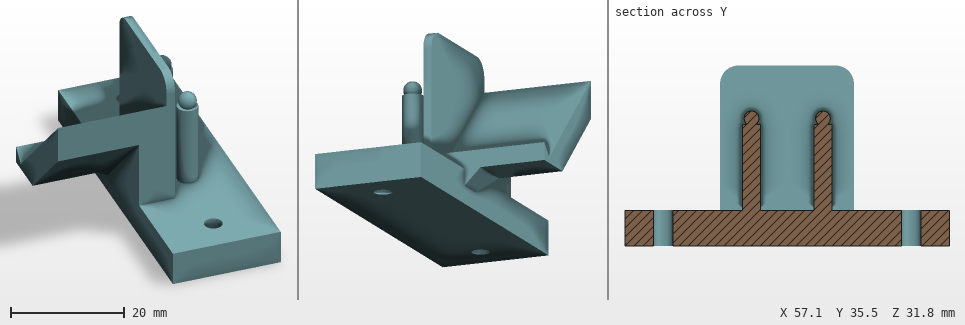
import cadquery as cq

base_length = 57.15
base_depth = 20.3
base_height = 6.35

hole_diameter = 3.3
hole_spacing = 43.65
hole_y = base_depth / 2

pin_diameter = 3.85
pin_spacing = 12.6
pin_y = 11.15
pin_top = 21.5
ball_diameter = 3.3
ball_top = 24.2

plate_width = 23.55
plate_thickness = 1.6
plate_top = 31.8
plate_corner_radius = 3.2
plate_front_y = 5.15

overall_depth = 35.55
ramp_front_y = base_depth - overall_depth
ramp_right = plate_width / 2
ramp_left = -9.1
ramp_high_edge = 26.0
ramp_edge_height = 7.0
ramp_low_edge = ramp_high_edge - ramp_edge_height
lip_width = 2.25
gusset_size = 3.05


def make_base():
    block = cq.Workplane("XY").box(
        base_length, base_depth, base_height, centered=(True, False, False)
    )
    holes = (
        cq.Workplane("XY")
        .pushPoints([(-hole_spacing / 2, hole_y), (hole_spacing / 2, hole_y)])
        .circle(hole_diameter / 2)
        .extrude(base_height)
    )
    return block.cut(holes)


def make_pin(x):
    shaft = cq.Workplane("XY").center(x, pin_y).circle(pin_diameter / 2).extrude(pin_top)
    ball_radius = ball_diameter / 2
    ball = cq.Workplane("XY").sphere(ball_radius).translate((x, pin_y, ball_top - ball_radius))
    return shaft.union(ball)


def make_plate():
    plate = cq.Workplane("XY").box(
        plate_width, plate_thickness, plate_top - base_height, centered=(True, False, False)
    )
    plate = plate.edges("|Y and >Z").fillet(plate_corner_radius)
    return plate.translate((0, plate_front_y, base_height))


def make_ramp():
    notch_x = ramp_left + lip_width
    notch_z = ramp_high_edge - (ramp_right - notch_x)
    bottom = base_height - gusset_size
    ramp = (
        cq.Workplane("XZ", origin=(0, plate_front_y, 0))
        .moveTo(ramp_left, bottom)
        .lineTo(ramp_left, notch_z + lip_width)
        .lineTo(notch_x, notch_z)
        .lineTo(ramp_right, ramp_high_edge)
        .lineTo(ramp_right, ramp_low_edge)
        .lineTo(ramp_right - (ramp_low_edge - bottom), bottom)
        .close()
        .extrude(plate_front_y - ramp_front_y)
    )
    clearance = (
        cq.Workplane("YZ", origin=(-base_length / 2, 0, 0))
        .moveTo(0, bottom)
        .lineTo(-gusset_size, base_height)
        .lineTo(ramp_front_y, base_height)
        .lineTo(ramp_front_y, bottom)
        .close()
        .extrude(base_length)
    )
    return ramp.cut(clearance)


def make_support():
    return (
        cq.Workplane("XZ", origin=(0, plate_front_y, 0))
        .moveTo(ramp_right - (ramp_low_edge - base_height), base_height)
        .lineTo(ramp_right, base_height)
        .lineTo(ramp_right, ramp_low_edge)
        .close()
        .extrude(plate_front_y)
    )


result = make_base().union(make_plate()).union(make_ramp()).union(make_support())
for pin_x in (-pin_spacing / 2, pin_spacing / 2):
    result = result.union(make_pin(pin_x))